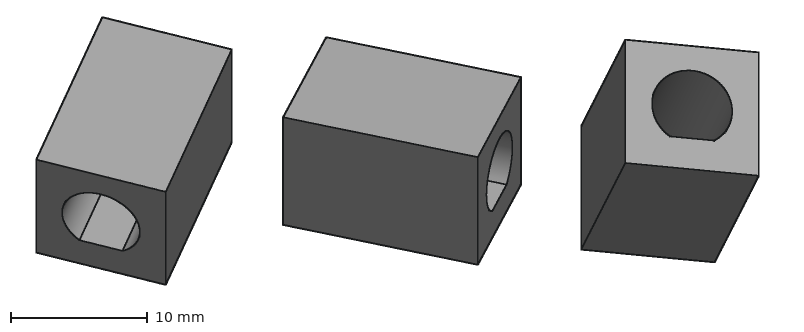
import cadquery as cq

length = 15.0
side = length * 2 / 3

bore_diameter = side * 0.6
flat_offset = side / 4


def make_block():
    return cq.Workplane("XY").box(side, length, side)


def make_bore():
    cylinder = (
        cq.Workplane("XZ")
        .circle(bore_diameter / 2)
        .extrude(length / 2, both=True)
    )
    flat_height = bore_diameter / 2 + flat_offset
    keep = (
        cq.Workplane("XY")
        .workplane(offset=-flat_offset)
        .rect(bore_diameter, length)
        .extrude(flat_height)
    )
    return cylinder.intersect(keep)


result = make_block().cut(make_bore())